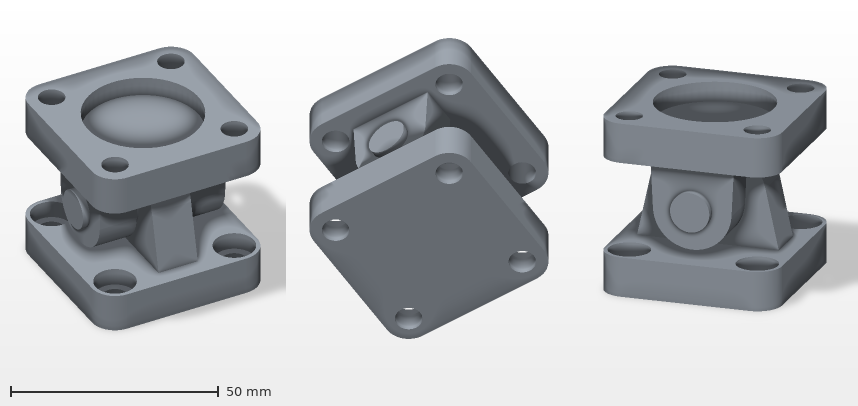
import cadquery as cq
import math

plate_side = 45.0
plate_thickness = 10.0
corner_radius = 6.2
overall_height = 44.0
bolt_spacing = 32.5
bolt_hole_diameter = 6.6
counterbore_diameter = 10.5
counterbore_depth = 4.5
pocket_diameter = 29.95
pocket_depth = 5.0

base_top = plate_thickness
fork_plate_bottom = overall_height - plate_thickness
axis_height = overall_height / 2

pin_diameter = 10.0
pin_length = 38.0
ball_diameter = 19.0

lug_thickness = 10.65
lug_radius = 15.0
lug_foot_width = 36.0

arm_thickness = 10.1
arm_gap = 14.0
arm_radius = 10.0
arm_root_width = 21.2


def mounting_plate(bottom):
    """Square plate with rounded corners and four through bolt holes."""
    plate = (
        cq.Workplane("XY")
        .workplane(offset=bottom)
        .rect(plate_side, plate_side)
        .extrude(plate_thickness)
        .edges("|Z")
        .fillet(corner_radius)
    )
    return (
        plate.faces(">Z")
        .workplane()
        .rect(bolt_spacing, bolt_spacing, forConstruction=True)
        .vertices()
        .hole(bolt_hole_diameter)
    )


def cylinder_along_y(radius, length):
    """Cylinder on the pin axis, centred on the hinge."""
    return (
        cq.Workplane("XZ", origin=(0, 0, axis_height))
        .circle(radius)
        .extrude(length / 2, both=True)
    )


def tapered_lug(radius, root_width, root_height, thickness, centre_y):
    """Lug rounded about the pin axis, with straight flanks tangent to the round end."""
    half_root = root_width / 2
    root_z = root_height - axis_height
    tip_z = -math.copysign(radius, root_z)
    flank_angle = math.atan2(abs(root_z), half_root)
    tangent_angle = math.acos(radius / math.hypot(half_root, root_z)) - flank_angle
    tangent_x = radius * math.cos(tangent_angle)
    tangent_z = math.copysign(radius, -root_z) * math.sin(tangent_angle)
    return (
        cq.Workplane("XZ", origin=(0, centre_y, axis_height))
        .moveTo(-half_root, root_z)
        .lineTo(-tangent_x, tangent_z)
        .threePointArc((0, tip_z), (tangent_x, tangent_z))
        .lineTo(half_root, root_z)
        .close()
        .extrude(thickness / 2, both=True)
    )


def make_ball_pin():
    """Straight pin with a ball in the middle, cut flat where it meets the fork arms."""
    ball = cq.Workplane("XY", origin=(0, 0, axis_height)).sphere(ball_diameter / 2)
    trimmed_ball = ball.intersect(cylinder_along_y(ball_diameter, arm_gap))
    return cylinder_along_y(pin_diameter / 2, pin_length).union(trimmed_ball)


def make_base(pin):
    """Lower plate with counterbored holes and a lug that holds the ball."""
    plate = mounting_plate(0)
    counterbores = (
        cq.Workplane("XY")
        .workplane(offset=base_top - counterbore_depth)
        .rect(bolt_spacing, bolt_spacing, forConstruction=True)
        .vertices()
        .circle(counterbore_diameter / 2)
        .extrude(counterbore_depth)
    )
    lug = tapered_lug(lug_radius, lug_foot_width, base_top, lug_thickness, 0)
    return plate.cut(counterbores).union(lug).cut(pin)


def make_fork(pin):
    """Upper plate with a round pocket and two arms that carry the pin."""
    fork = mounting_plate(fork_plate_bottom)
    pocket = (
        cq.Workplane("XY")
        .workplane(offset=overall_height - pocket_depth)
        .circle(pocket_diameter / 2)
        .extrude(pocket_depth)
    )
    fork = fork.cut(pocket)
    arm_offset = (arm_gap + arm_thickness) / 2
    for side in (-1, 1):
        arm = tapered_lug(arm_radius, arm_root_width, fork_plate_bottom, arm_thickness, side * arm_offset)
        fork = fork.union(arm)
    lug_recess = cylinder_along_y(lug_radius, lug_thickness)
    return fork.cut(lug_recess).cut(pin)


ball_pin = make_ball_pin()
base = make_base(ball_pin)
fork = make_fork(ball_pin)

result = cq.Compound.makeCompound([base.val(), fork.val(), ball_pin.val()])